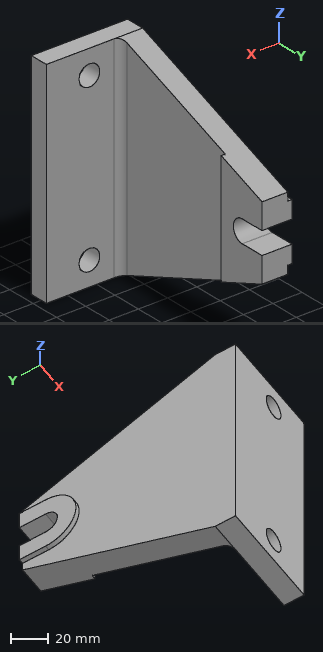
import cadquery as cq

height = 145.0
length = 137.0
flange_width = 66.0
flange_thickness = 13.0
web_thickness = 15.0
tip_height = 50.0
corner_radius = 5.0

pad_length = 35.0
pad_thickness = 17.7

boss_height = 3.0
boss_width = 39.0
slot_width = 15.1
slot_depth = 17.0

hole_diameter = 14.0
hole_spacing = 112.0
hole_x = 36.5

slot_center_y = length - slot_depth


def web_plate(thickness):
    """Side plate tapering from the flange to the tip, outer face at X = 0."""
    outline = [
        (0, -height / 2),
        (flange_thickness, -height / 2),
        (length, -tip_height / 2),
        (length, tip_height / 2),
        (flange_thickness, height / 2),
        (0, height / 2),
    ]
    return cq.Workplane("YZ").polyline(outline).close().extrude(thickness)


def open_u(width, start_x, end_x):
    """U-shaped solid that runs from its round end out to the tip."""
    half = width / 2
    return (
        cq.Workplane("YZ", origin=(start_x, 0, 0))
        .moveTo(length, -half)
        .lineTo(slot_center_y, -half)
        .threePointArc((slot_center_y - half, 0), (slot_center_y, half))
        .lineTo(length, half)
        .close()
        .extrude(end_x - start_x)
    )


def corner_fillet():
    """Concave round in the inside corner, trimmed to the taper of the web."""
    block = cq.Workplane("XY").box(
        corner_radius, corner_radius, height, centered=(False, False, True)
    )
    round_cut = (
        cq.Workplane("XY", origin=(corner_radius, corner_radius, -height / 2))
        .circle(corner_radius)
        .extrude(height)
    )
    fillet = block.cut(round_cut).translate((web_thickness, flange_thickness, 0))
    return fillet.intersect(web_plate(flange_width))


flange = cq.Workplane("XY").box(
    flange_width, flange_thickness, height, centered=(False, False, True)
)
bracket = flange.union(web_plate(web_thickness)).union(corner_fillet())

pad_envelope = cq.Workplane("XY", origin=(0, length - pad_length, 0)).box(
    pad_thickness, pad_length, height, centered=(False, False, True)
)
bracket = bracket.union(web_plate(pad_thickness).intersect(pad_envelope))

bracket = bracket.union(open_u(boss_width, -boss_height, web_thickness))
bracket = bracket.cut(open_u(slot_width, -boss_height, pad_thickness))

holes = (
    cq.Workplane("XZ")
    .pushPoints([(hole_x, side * hole_spacing / 2) for side in (-1, 1)])
    .circle(hole_diameter / 2)
    .extrude(-flange_thickness)
)
result = bracket.cut(holes)